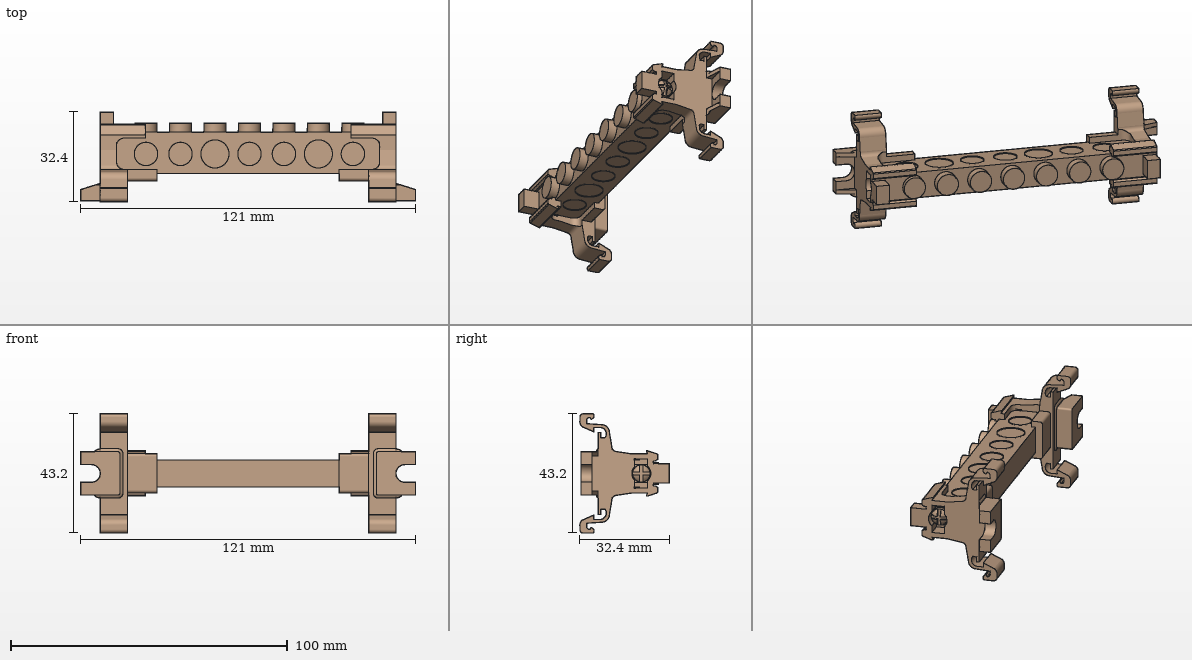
import cadquery as cq

total_length = 121.0
total_depth = 32.4
foot_overhang = 7.0
wall_x = -total_length / 2 + foot_overhang

bar_front = 10.2
bar_back = 25.2
bar_half_height = 4.9
bar_mid_y = (bar_front + bar_back) / 2
screw_count = 7
screw_pitch = 12.5
screw_row_shift = 0.5
screw_radius = 4.2
screw_tip_radius = 4.0
screw_back = 28.4
port_radius = 4.2
large_port_radius = 5.1
large_ports = (2, 5)
port_y = 17.3
port_depth = 0.4

wall_thickness = 5.9
arm_width = 9.9
trim_clearance = 1.2
lip_length = 16.3
stub_length = 4.8
front_grip_length = 20.6

plate_front = 6.7
plate_half_height = 14.9
window_front = 11.7
window_back = 23.0
window_radius = 2.7
lip_back = 28.2
lip_half_height = 7.1
lip_chamfer = 0.4
barb_tip_y = 24.1
barb_edge = 0.4
barb_root_y = 24.5
barb_half_height = 8.2
notch_floor = 26.6
stub_half_height = 3.5
hook_half_height = 21.6
hook_radius = 1.3

grip_front = 7.5
grip_half_height = 7.1
grip_radius = 1.1

foot_front = 0.4
foot_slab_back = 4.5
foot_half_height = 7.9
foot_end_x = -46.3
gusset_thickness = 1.6
foot_corner_radius = 0.7
root_width = 1.1
root_height = 0.6
slot_radius = 3.1

pocket_front = 19.7
pocket_back = 24.5
pocket_half_height = 5.26
end_screw_y = 22.3
end_screw_clearance = 3.45
head_radius = 3.1
dome_height = 1.5
head_recess = 1.1
pad_half_height = 3.3
pad_thickness = 1.8
cross_width = 1.2
cross_length = 6.3
cross_depth = 1.5


def box(x_range, y_range, z_range):
    """Box spanning the given (low, high) ranges."""
    size = [high - low for low, high in (x_range, y_range, z_range)]
    corner = (x_range[0], y_range[0], z_range[0])
    return cq.Workplane("XY").box(*size, centered=False).translate(corner)


def tall_box(x_range, y_range, half_height):
    """Box that is symmetric about the middle height."""
    return box(x_range, y_range, (-half_height, half_height))


def holder_section(length):
    """Holder cross section with lips, hooks and plates, extruded along +X."""
    upper_half = (
        cq.Workplane("YZ", origin=(wall_x, 0, 0))
        .moveTo(plate_front, 0)
        .lineTo(plate_front, plate_half_height)
        .lineTo(7.6, plate_half_height)
        .lineTo(7.6, 13.0)
        .lineTo(9.1, 13.0)
        .threePointArc((9.4, 15.1), (7.5, 16.6))
        .lineTo(5.1, 16.6)
        .lineTo(5.1, 15.0)
        .lineTo(1.0, 16.8)
        .threePointArc((0.2, 17.7), (0, 18.9))
        .lineTo(0, hook_half_height - hook_radius)
        .radiusArc((hook_radius, hook_half_height), hook_radius)
        .lineTo(4.8, hook_half_height)
        .threePointArc((5.2, 20.7), (4.7, 19.8))
        .lineTo(4.1, 19.5)
        .lineTo(3.6, 20.2)
        .threePointArc((2.9, 20.0), (2.5, 19.2))
        .lineTo(2.5, 18.0)
        .lineTo(8.1, 17.7)
        .threePointArc((9.9, 16.8), (10.8, 14.8))
        .lineTo(11.6, 9.8)
        .threePointArc((12.0, 8.6), (13.0, 8.0))
        .lineTo(18.6, lip_half_height)
        .lineTo(barb_root_y, lip_half_height)
        .lineTo(barb_tip_y, barb_half_height - barb_edge)
        .lineTo(barb_tip_y, barb_half_height)
        .lineTo(barb_root_y, barb_half_height)
        .lineTo(lip_back - lip_chamfer, lip_half_height)
        .lineTo(lip_back, lip_half_height - lip_chamfer)
        .lineTo(lip_back, 5.1)
        .lineTo(27.3, 4.5)
        .lineTo(notch_floor, 4.5)
        .lineTo(notch_floor, 0)
        .close()
        .extrude(length)
    )
    return upper_half.union(upper_half.mirror("XY"))


def foot():
    """Mounting foot: slotted slab, core block and two sloping gussets."""
    tip_x = -total_length / 2
    slab = tall_box((tip_x, foot_end_x), (foot_front, foot_slab_back), foot_half_height)
    core = tall_box((wall_x, foot_end_x), (foot_slab_back, plate_front), foot_half_height)
    body = slab.union(core).edges("|Y and >X").fillet(foot_corner_radius)
    for low in (-foot_half_height, foot_half_height - gusset_thickness):
        gusset = (
            cq.Workplane("XY", origin=(0, 0, low))
            .moveTo(tip_x, foot_slab_back)
            .lineTo(wall_x, foot_slab_back)
            .lineTo(wall_x, plate_front)
            .close()
            .extrude(gusset_thickness)
        )
        body = body.union(gusset)
    slot_end_x = wall_x - slot_radius
    slot = (
        cq.Workplane("XZ", origin=(0, foot_slab_back, 0))
        .moveTo(tip_x, slot_radius)
        .lineTo(slot_end_x, slot_radius)
        .threePointArc((wall_x, 0), (slot_end_x, -slot_radius))
        .lineTo(tip_x, -slot_radius)
        .close()
        .extrude(foot_slab_back)
    )
    return body.cut(slot)


def root_profile(origin, outward, normal):
    """Concave fillet section: starts at the foot and runs out on the plate."""
    root_radius = (root_width**2 + root_height**2) / (2 * root_height)
    return (
        cq.Workplane(cq.Plane(origin=origin, xDir=outward, normal=normal))
        .moveTo(0, 0)
        .lineTo(0, root_height)
        .lineTo(root_width, root_height)
        .radiusArc((0, 0), root_radius)
        .close()
    )


def foot_root_fillet():
    """Concave fillet around the foot where it meets the front plate."""
    tip_x = -total_length / 2
    root_y = plate_front - root_height
    corner_x = foot_end_x - foot_corner_radius
    corner_z = foot_half_height - foot_corner_radius

    upright = root_profile((foot_end_x, root_y, -corner_z), (1, 0, 0), (0, 0, 1))
    upright = upright.extrude(2 * corner_z)
    upper_run = root_profile((corner_x, root_y, foot_half_height), (0, 0, 1), (-1, 0, 0))
    upper_run = upper_run.extrude(corner_x - tip_x)
    above_slope = (
        cq.Workplane("XY", origin=(0, 0, foot_half_height))
        .moveTo(tip_x, foot_slab_back)
        .lineTo(wall_x, plate_front)
        .lineTo(tip_x, plate_front)
        .close()
        .extrude(root_width)
    )
    corner_turn = root_profile((foot_end_x, root_y, corner_z), (1, 0, 0), (0, 0, 1))
    corner_turn = corner_turn.revolve(90, (-foot_corner_radius, 0), (-foot_corner_radius, -1))
    upper = upper_run.cut(above_slope).union(corner_turn)
    return upright.union(upper).union(upper.mirror("XY"))


def front_grip():
    """Block gripping the front edge of the bar."""
    block = tall_box(
        (wall_x + wall_thickness, wall_x + front_grip_length),
        (grip_front, window_front),
        grip_half_height,
    )
    return block.edges("|X and <Y").fillet(grip_radius)


def end_pocket():
    """Opening through the holder wall that gives access to the end screw."""
    slit = tall_box((wall_x, wall_x + wall_thickness), (pocket_front, pocket_back), pocket_half_height)
    bore = (
        cq.Workplane("YZ", origin=(wall_x, end_screw_y, 0))
        .circle(end_screw_clearance)
        .extrude(wall_thickness)
    )
    return slit.union(bore)


def end_screw():
    """Domed screw head with a cross recess, on a pad at the end of the bar."""
    seat_x = wall_x + wall_thickness
    top_x = wall_x + head_recess
    rim_x = top_x + dome_height
    dome_radius = (head_radius**2 + dome_height**2) / (2 * dome_height)
    head = (
        cq.Workplane("XY", origin=(0, end_screw_y, 0))
        .moveTo(seat_x, 0)
        .lineTo(top_x, 0)
        .radiusArc((rim_x, head_radius), dome_radius)
        .lineTo(seat_x, head_radius)
        .close()
        .revolve(360, (0, 0), (1, 0))
    )
    cross = (
        cq.Workplane("YZ", origin=(top_x, end_screw_y, 0))
        .rect(cross_width, cross_length)
        .extrude(cross_depth)
    )
    cross = cross.union(cross.rotate((0, end_screw_y, 0), (1, end_screw_y, 0), 90))
    pad = tall_box((seat_x - pad_thickness, seat_x), (pocket_front, pocket_back), pad_half_height)
    return pad.union(head.cut(cross))


def holder():
    """Left holder, outer face at wall_x."""
    body = holder_section(lip_length)
    window = tall_box(
        (wall_x + wall_thickness, wall_x + 2 * lip_length),
        (window_front, window_back),
        hook_half_height,
    )
    body = body.cut(window.edges("|Z and <X").fillet(window_radius))
    arm_trim = tall_box(
        (wall_x + arm_width, wall_x + 2 * lip_length),
        (-trim_clearance, window_front),
        hook_half_height,
    )
    body = body.cut(arm_trim)
    stub = tall_box((wall_x, wall_x + stub_length), (window_back, total_depth), stub_half_height)
    body = body.union(stub).union(front_grip()).cut(end_pocket())
    return body.union(foot()).union(foot_root_fillet())


def busbar():
    """Bar with shallow round ports on top and bottom and screws at the back."""
    half_length = -(wall_x + wall_thickness)
    bar = tall_box((-half_length, half_length), (bar_front, bar_back), bar_half_height)
    for index in range(screw_count):
        x = screw_row_shift + (index - (screw_count - 1) / 2) * screw_pitch
        radius = large_port_radius if index in large_ports else port_radius
        for low in (-bar_half_height, bar_half_height - port_depth):
            port = cq.Workplane("XY", origin=(x, port_y, low)).circle(radius).extrude(port_depth)
            bar = bar.cut(port)
        screw = (
            cq.Workplane("XY", origin=(x, 0, 0))
            .moveTo(0, bar_mid_y)
            .lineTo(screw_radius, bar_mid_y)
            .lineTo(screw_tip_radius, screw_back)
            .lineTo(0, screw_back)
            .close()
            .revolve(360, (0, 0), (0, 1))
        )
        bar = bar.union(screw)
    return bar


left_end = holder().union(end_screw())
result = busbar().union(left_end).union(left_end.mirror("YZ"))